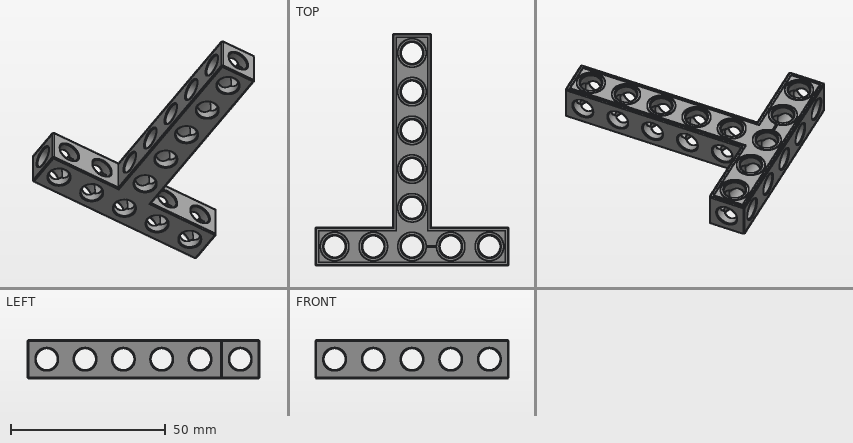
import cadquery as cq

length = 75.0
rows = 6
columns = 5
cell = length / rows
width = columns * cell
edge_chamfer = 0.4

hole_diameter = 7.0
hole_chamfer = 0.3
cross_pitch = 12.4

rim_width = 1.1
recess_depth = 0.2
collar_diameter = 9.2
web_width = 0.45

middle_column = columns // 2
column_x = [(i - middle_column) * cell for i in range(columns)]
row_y = [(j + 0.5) * cell for j in range(rows)]
bar_y = row_y[0]
mid_height = cell / 2
top_hole_xy = [(x, bar_y) for x in column_x] + [(0, y) for y in row_y[1:]]
stem_cross_y = [row_y[-1] - j * cross_pitch for j in range(rows - 1)]


def block(size_x, size_y, height):
    """Box centred in X, with its front face at Y = 0 and its base at Z = 0."""
    return cq.Workplane("XY").box(size_x, size_y, height, centered=(True, False, False))


def chamfered_tee():
    """Bar and stem with all outer edges chamfered and sharp inner corners."""
    bar = block(width, cell, cell).edges().chamfer(edge_chamfer)
    stem = block(cell, length, cell).edges().chamfer(edge_chamfer)
    return bar.union(stem)


def top_recess():
    """Shallow T-shaped pocket that leaves the rim, the collars and the web."""
    margin = 2 * rim_width
    floor_z = cell - recess_depth
    bar = block(width - margin, cell - margin, recess_depth)
    stem = block(cell - margin, length - margin, recess_depth)
    pocket = bar.union(stem).translate((0, rim_width, floor_z))
    floor = cq.Workplane("XY", origin=(0, 0, floor_z))
    collars = floor.pushPoints(top_hole_xy).circle(collar_diameter / 2).extrude(recess_depth)
    web = floor.center(cell / 2, bar_y).rect(cell, web_width).extrude(recess_depth)
    return pocket.cut(collars).cut(web)


def hole_cutter(start, direction, depth):
    """Round bore along direction, with a countersink at both ends."""
    radius = hole_diameter / 2
    mouth_radius = radius + hole_chamfer
    axis = cq.Vector(*direction)
    entry = cq.Vector(*start)
    leave = entry + axis * depth
    bore = cq.Solid.makeCylinder(radius, depth, entry, axis)
    entry_cone = cq.Solid.makeCone(mouth_radius, radius, hole_chamfer, entry, axis)
    leave_cone = cq.Solid.makeCone(mouth_radius, radius, hole_chamfer, leave, axis * -1)
    return cq.Workplane(bore).union(cq.Workplane(entry_cone)).union(cq.Workplane(leave_cone))


beam = chamfered_tee().cut(top_recess())

for x, y in top_hole_xy:
    beam = beam.cut(hole_cutter((x, y, 0), (0, 0, 1), cell))

for column, x in enumerate(column_x):
    depth = length if column == middle_column else cell
    beam = beam.cut(hole_cutter((x, 0, mid_height), (0, 1, 0), depth))

beam = beam.cut(hole_cutter((-width / 2, bar_y, mid_height), (1, 0, 0), width))
for y in stem_cross_y:
    beam = beam.cut(hole_cutter((-cell / 2, y, mid_height), (1, 0, 0), cell))

result = beam